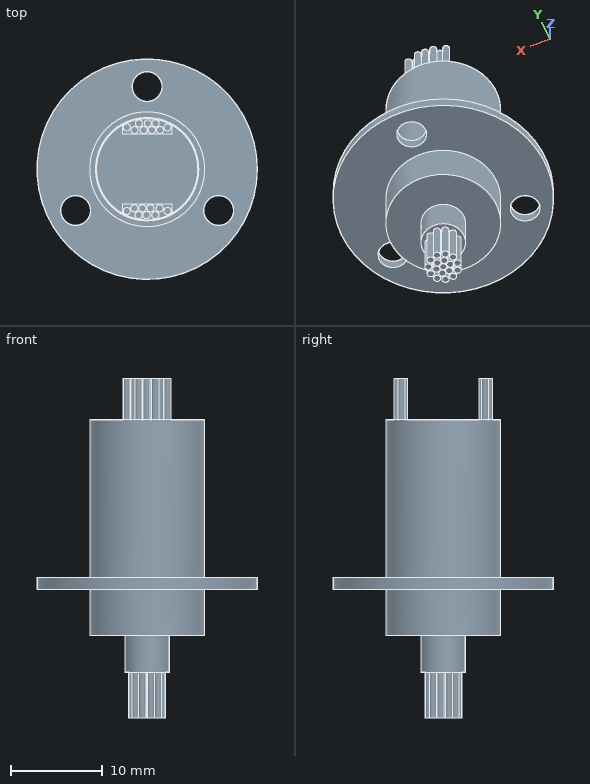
import cadquery as cq
import math

collar_bottom = 5.0
body_bottom = 9.0
flange_bottom = 14.0
flange_thickness = 1.35
body_top = 32.5
overall_height = 37.0

body_diameter = 12.5
collar_diameter = 4.85
flange_diameter = 24.0

hole_count = 3
hole_diameter = 3.22
hole_circle_radius = 9.0

cap_radius = 5.5
gap_width = 0.1
gap_depth = 0.37

pocket_width = 5.35
pocket_inner_y = 3.8
pocket_depth = 1.0

lead_diameter = 0.78
inner_row_y = 4.25
end_lead_y = 4.55
outer_row_y = 5.0
inner_row_x = (-1.37, -0.37, 0.5, 1.4)
end_lead_x = (-2.22, 2.22)
outer_row_x = (-0.9, 0.07, 0.92)

outer_ring_count = 11
outer_ring_radius = 1.63
outer_ring_start = 87.5
inner_ring_count = 6
inner_ring_radius = outer_ring_radius / 2

root_depth = 0.37


def cylinder(diameter, bottom, top):
    return cq.Workplane("XY").workplane(offset=bottom).circle(diameter / 2).extrude(top - bottom)


def leads(points, bottom, top):
    plane = cq.Workplane("XY").workplane(offset=bottom)
    return plane.pushPoints(points).circle(lead_diameter / 2).extrude(top - bottom)


def ring_points(radius, count, start_angle):
    angles = [math.radians(start_angle + 360 * i / count) for i in range(count)]
    return [(radius * math.cos(a), radius * math.sin(a)) for a in angles]


def housing():
    body = cylinder(body_diameter, body_bottom, body_top)
    collar = cylinder(collar_diameter, collar_bottom, body_bottom)
    flange = cylinder(flange_diameter, flange_bottom, flange_bottom + flange_thickness)
    holes = (
        cq.Workplane("XY")
        .workplane(offset=flange_bottom)
        .pushPoints(ring_points(hole_circle_radius, hole_count, 90))
        .circle(hole_diameter / 2)
        .extrude(flange_thickness)
    )
    return body.union(collar).union(flange.cut(holes))


def cap_gap():
    plane = cq.Workplane("XY").workplane(offset=body_top - gap_depth)
    return plane.circle(cap_radius + gap_width).circle(cap_radius).extrude(gap_depth)


def pocket():
    """Slot at +Y, with an outer side that follows the round edge of the cap."""
    floor = body_top - pocket_depth
    pocket_length = cap_radius - pocket_inner_y
    slot = (
        cq.Workplane("XY")
        .workplane(offset=floor)
        .center(0, pocket_inner_y + pocket_length / 2)
        .rect(pocket_width, pocket_length)
        .extrude(pocket_depth)
    )
    return slot.intersect(cylinder(2 * cap_radius, floor, body_top))


def upper_leads():
    points = [(x, inner_row_y) for x in inner_row_x]
    points += [(x, end_lead_y) for x in end_lead_x]
    points += [(x, outer_row_y) for x in outer_row_x]
    return leads(points, body_top - pocket_depth - root_depth, overall_height)


def lower_leads():
    points = [(0, 0)]
    points += ring_points(inner_ring_radius, inner_ring_count, 0)
    points += ring_points(outer_ring_radius, outer_ring_count, outer_ring_start)
    return leads(points, 0, collar_bottom + root_depth)


result = housing().cut(cap_gap())

for turn in (0, 180):
    result = result.cut(pocket().rotate((0, 0, 0), (0, 0, 1), turn))
    result = result.union(upper_leads().rotate((0, 0, 0), (0, 0, 1), turn))

result = result.union(lower_leads())